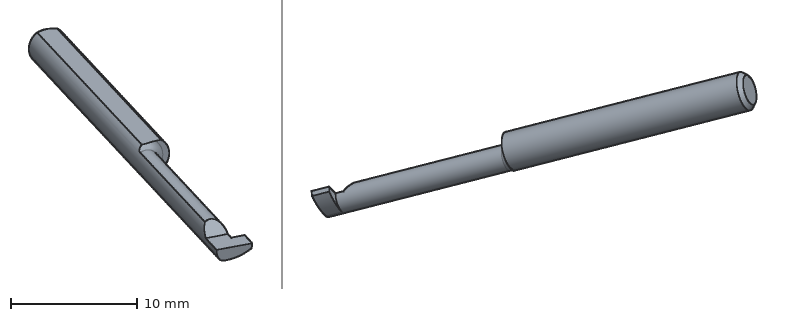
import cadquery as cq
import math

overall_length = 38.1
shank_diameter = 3.175
shank_radius = shank_diameter / 2
shank_length = 21.2
shank_height = 2.92
flat_height = shank_height - shank_radius
rear_chamfer = 0.38

neck_radius = 1.09
neck_side_y = 0.32
neck_axis_y = neck_side_y - neck_radius
root_fillet = 0.68

rake_height = 0.04
rake_start_x = 35.86
rake_slope = 45.0
head_start_x = 36.54
head_tip_y = 1.47
end_side_angle = 1.5
end_clearance_angle = 3.0
tip_land = 0.45
tip_clearance_angle = 5.0


def bar(radius, start_x, end_x):
    """Round bar along the shank axis."""
    return cq.Workplane("YZ", origin=(start_x, 0, 0)).circle(radius).extrude(end_x - start_x)


def make_shank():
    """Round shank with a chamfered rear end."""
    return bar(shank_radius, 0, shank_length).faces("<X").chamfer(rear_chamfer)


def make_flat_cutter():
    """Everything above the clamping flat."""
    slab = cq.Workplane("XY", origin=(overall_length / 2, 0, flat_height))
    return slab.rect(overall_length, shank_diameter).extrude(shank_radius)


def make_neck():
    """Neck bar with a concave flare where it meets the shank."""
    flare_end_x = shank_length + root_fillet
    flare_radius = neck_radius + root_fillet
    arc_offset = root_fillet * (1 - math.sqrt(0.5))
    profile = (
        cq.Workplane("XZ", origin=(0, neck_axis_y, 0))
        .moveTo(shank_length, 0)
        .lineTo(shank_length, flare_radius)
        .threePointArc((shank_length + arc_offset, neck_radius + arc_offset), (flare_end_x, neck_radius))
        .lineTo(overall_length, neck_radius)
        .lineTo(overall_length, 0)
        .close()
    )
    neck = profile.revolve(360, (0, 0, 0), (1, 0, 0))
    envelope = bar(shank_radius, shank_length, overall_length)
    return neck.intersect(envelope)


def make_head():
    """Hooked tip reaching out to +Y, below the rake face."""
    tip_setback = tip_land * math.tan(math.radians(tip_clearance_angle))
    heel_y = head_tip_y - tip_setback
    heel_z = rake_height - tip_land
    reach = heel_y - neck_axis_y
    rise = heel_z + neck_radius
    underside_radius = (reach ** 2 + rise ** 2) / (2 * rise)
    half_sweep = math.asin(reach / underside_radius) / 2
    arc_middle_y = neck_axis_y + underside_radius * math.sin(half_sweep)
    arc_middle_z = -neck_radius + underside_radius * (1 - math.cos(half_sweep))
    section = (
        cq.Workplane("YZ", origin=(head_start_x, 0, 0))
        .moveTo(neck_axis_y, rake_height)
        .lineTo(head_tip_y, rake_height)
        .lineTo(heel_y, heel_z)
        .threePointArc((arc_middle_y, arc_middle_z), (neck_axis_y, -neck_radius))
        .close()
    )
    return section.extrude(overall_length - head_start_x)


def make_rake_cutter():
    """Everything above the rake face and its sloped run-out."""
    rise = shank_radius
    run = rise / math.tan(math.radians(rake_slope))
    return (
        cq.Workplane("XZ")
        .moveTo(rake_start_x, rake_height)
        .lineTo(rake_start_x - run, rake_height + rise)
        .lineTo(overall_length, rake_height + rise)
        .lineTo(overall_length, rake_height)
        .close()
        .extrude(shank_diameter, both=True)
    )


def make_end_cutter():
    """Block whose -X face is the relieved end face, through the cutting corner."""
    size = 3 * shank_diameter
    block = cq.Workplane("XY").box(size, size, size).translate((size / 2, 0, 0))
    block = block.rotate((0, 0, 0), (0, 1, 0), end_clearance_angle)
    block = block.rotate((0, 0, 0), (0, 0, 1), -end_side_angle)
    return block.translate((overall_length, head_tip_y, rake_height))


result = (
    make_shank()
    .union(make_neck())
    .union(make_head())
    .cut(make_flat_cutter())
    .cut(make_rake_cutter())
    .cut(make_end_cutter())
)